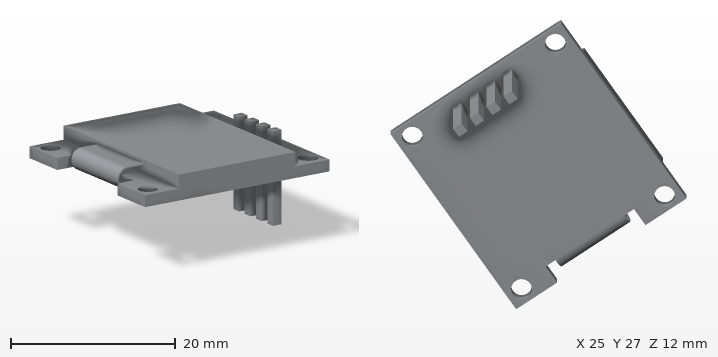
import cadquery as cq


BOARD_WIDTH = 25.0
BOARD_LENGTH = 27.0
BOARD_THICKNESS = 1.5
NOTCH_WIDTH = 13.0
NOTCH_DEPTH = 2.48
HOLE_DIAMETER = 2.5
HOLE_INSET_X = 2.0
HOLE_INSET_Y = 1.75

PANEL_LENGTH = 17.0
PANEL_HEIGHT = 1.78

PIN_COUNT = 4
PIN_PITCH = 2.45
PIN_SIZE = 1.25
PIN_LENGTH = 12.0
PIN_TOP = 3.5
PIN_INSET = 2.08

RIBBON_WIDTH = 10.1
RIBBON_THICKNESS = 0.15
RIBBON_TOP = 2.8

BOARD_FRONT = -BOARD_LENGTH / 2
NOTCH_WALL = BOARD_FRONT + NOTCH_DEPTH
PANEL_FRONT = -PANEL_LENGTH / 2
PIN_ROW_Y = BOARD_LENGTH / 2 - PIN_INSET
BEND_RADIUS = RIBBON_TOP / 2
INNER_BEND_RADIUS = BEND_RADIUS - RIBBON_THICKNESS


def make_board():
    """Plate with four corner holes and a notch in its front edge."""
    plate = cq.Workplane("XY").box(
        BOARD_WIDTH, BOARD_LENGTH, BOARD_THICKNESS, centered=(True, True, False)
    )
    notch = (
        cq.Workplane("XY")
        .center(0, BOARD_FRONT + NOTCH_DEPTH / 2)
        .rect(NOTCH_WIDTH, NOTCH_DEPTH)
        .extrude(BOARD_THICKNESS)
    )
    holes = (
        cq.Workplane("XY")
        .rect(
            BOARD_WIDTH - 2 * HOLE_INSET_X,
            BOARD_LENGTH - 2 * HOLE_INSET_Y,
            forConstruction=True,
        )
        .vertices()
        .circle(HOLE_DIAMETER / 2)
        .extrude(BOARD_THICKNESS)
    )
    return plate.cut(notch).cut(holes)


def make_panel():
    """Rectangular display block resting on the board."""
    return (
        cq.Workplane("XY", origin=(0, 0, BOARD_THICKNESS))
        .rect(BOARD_WIDTH, PANEL_LENGTH)
        .extrude(PANEL_HEIGHT)
    )


def make_pins():
    """Row of square pins passing down through the board."""
    return (
        cq.Workplane("XY", origin=(0, PIN_ROW_Y, PIN_TOP))
        .rarray(PIN_PITCH, 0.27, PIN_COUNT, 1)
        .rect(PIN_SIZE, PIN_SIZE)
        .extrude(-PIN_LENGTH)
    )


def make_module():
    """Board, display panel and pins as one solid."""
    return make_board().union(make_panel()).union(make_pins())


def make_ribbon():
    """Thin strip from the panel's front face, bent half a turn to meet the notch wall."""
    return (
        cq.Workplane("YZ")
        .moveTo(PANEL_FRONT, RIBBON_TOP)
        .lineTo(NOTCH_WALL, RIBBON_TOP)
        .threePointArc((NOTCH_WALL - BEND_RADIUS, BEND_RADIUS), (NOTCH_WALL, 0))
        .lineTo(NOTCH_WALL, RIBBON_THICKNESS)
        .threePointArc(
            (NOTCH_WALL - INNER_BEND_RADIUS, BEND_RADIUS),
            (NOTCH_WALL, RIBBON_TOP - RIBBON_THICKNESS),
        )
        .lineTo(PANEL_FRONT, RIBBON_TOP - RIBBON_THICKNESS)
        .close()
        .extrude(RIBBON_WIDTH / 2, both=True)
    )


module = make_module()
ribbon = make_ribbon()

result = cq.Compound.makeCompound([module.val(), ribbon.val()])